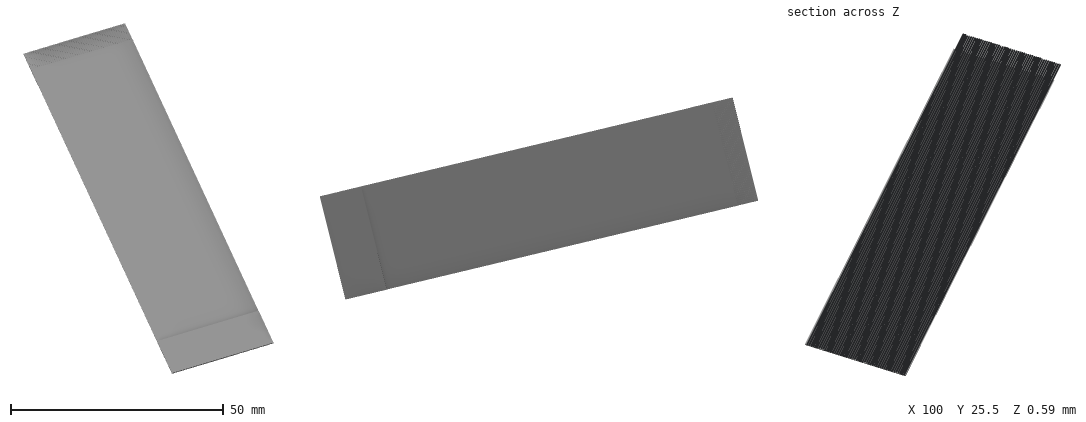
import cadquery as cq


length = 100.0
conductor_count = 50
pitch = 0.5
conductor_width = 0.3
conductor_thickness = 0.05
width = (conductor_count + 1) * pitch

film_thickness = 0.05
exposed_length = 5.0
stiffener_length = 10.0
stiffener_thickness = 0.22

conductor_top = conductor_thickness / 2
film_top = conductor_top + film_thickness
stiffener_top = film_top + stiffener_thickness


def layer(x_start, x_end, z_bottom, z_top):
    """Full-width sheet between two X stations and two heights."""
    sheet = cq.Workplane("XY").box(
        x_end - x_start, width, z_top - z_bottom, centered=(False, True, False)
    )
    return sheet.translate((x_start, 0, z_bottom))


def conductors():
    """Evenly pitched strips running the whole length."""
    return (
        cq.Workplane("XY")
        .center(length / 2, 0)
        .rarray(length, pitch, 1, conductor_count)
        .box(length, conductor_width, conductor_thickness)
    )


def upper_cover():
    """Film and stiffener above the conductors, leaving the -X contacts bare."""
    film = layer(exposed_length, length, conductor_top, film_top)
    stiffener = layer(length - stiffener_length, length, film_top, stiffener_top)
    return film.union(stiffener)


def lower_cover():
    """Film and stiffener below the conductors, leaving the +X contacts bare."""
    film = layer(0, length - exposed_length, -film_top, -conductor_top)
    stiffener = layer(0, stiffener_length, -stiffener_top, -film_top)
    return film.union(stiffener)


result = upper_cover().union(lower_cover()).union(conductors())